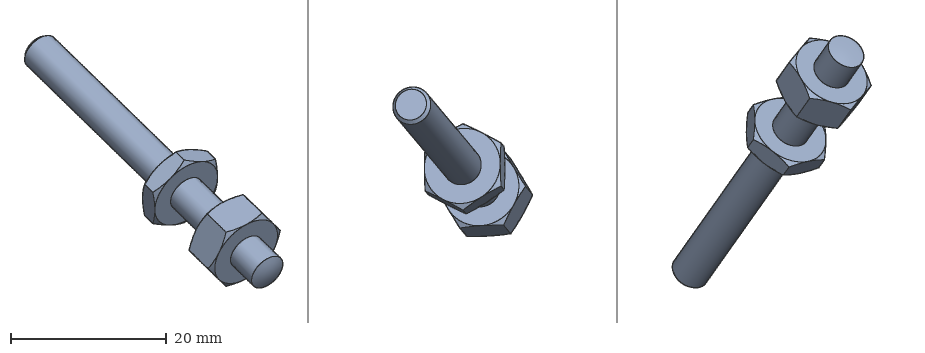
import cadquery as cq
import math

length = 50.0
rod_radius = 2.5
chamfer_length = 0.5
chamfer_radius = 2.05
dome_height = 0.45

across_flats = 10.0
corner_radius = across_flats / math.sqrt(3)
face_radius = across_flats / 2
bevel_angle = 30.0
thin_nut_start = 29.35
thin_nut_width = 2.7
thick_nut_start = 40.0
thick_nut_width = 5.0


def make_rod():
    """Rod with a chamfered flat end and a domed end."""
    dome_start = length - dome_height
    sphere_radius = (rod_radius**2 + dome_height**2) / (2 * dome_height)
    half_angle = math.asin(rod_radius / sphere_radius) / 2
    dome_middle = (
        length - sphere_radius * (1 - math.cos(half_angle)),
        sphere_radius * math.sin(half_angle),
    )
    return (
        cq.Workplane("XY")
        .lineTo(0, chamfer_radius)
        .lineTo(chamfer_length, rod_radius)
        .lineTo(dome_start, rod_radius)
        .threePointArc(dome_middle, (length, 0))
        .close()
        .revolve(360, (0, 0, 0), (1, 0, 0))
    )


def make_nut(start, width, turn):
    """Hexagon nut with its corners bevelled on both faces."""
    hexagon = (
        cq.Workplane("YZ")
        .polygon(6, 2 * corner_radius)
        .extrude(width)
        .rotate((0, 0, 0), (1, 0, 0), turn)
    )
    bevel_depth = (corner_radius - face_radius) * math.tan(math.radians(bevel_angle))
    envelope = (
        cq.Workplane("XY")
        .lineTo(0, face_radius)
        .lineTo(bevel_depth, corner_radius)
        .lineTo(width - bevel_depth, corner_radius)
        .lineTo(width, face_radius)
        .lineTo(width, 0)
        .close()
        .revolve(360, (0, 0, 0), (1, 0, 0))
    )
    return hexagon.intersect(envelope).translate((start, 0, 0))


thin_nut = make_nut(thin_nut_start, thin_nut_width, 90)
thick_nut = make_nut(thick_nut_start, thick_nut_width, 0)

result = make_rod().union(thin_nut).union(thick_nut)